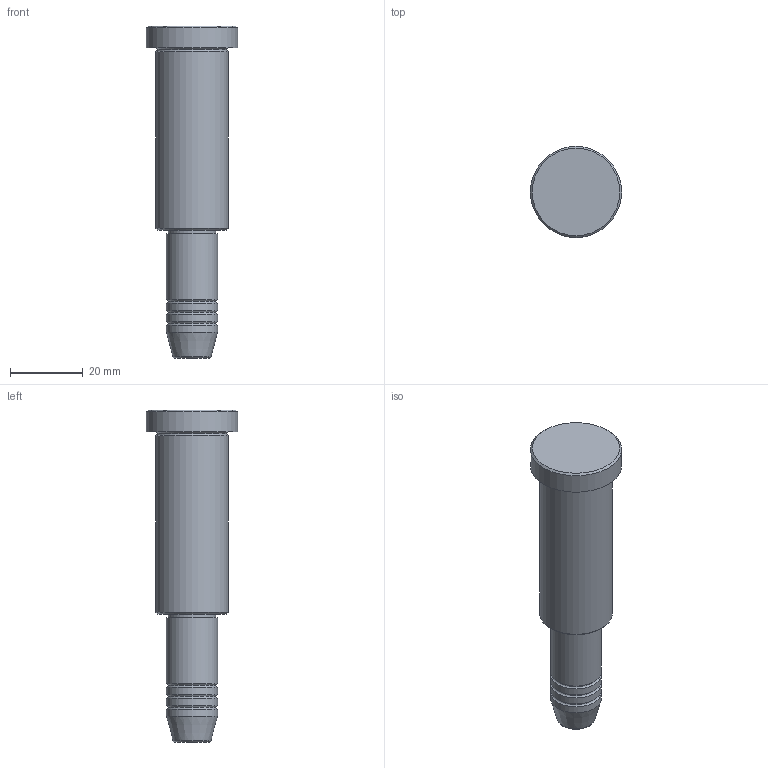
import cadquery as cq
import math

total_length = 91.0
head_radius = 12.5
head_height = 6.0
shank_radius = 10.0
shank_length = 50.0
pin_radius = 7.0
edge_chamfer = 0.5

neck_depth = 0.5
neck_height = 1.0

groove_width = 1.0
groove_depth = 0.5
groove_flank_radius = 0.6
groove_count = 3
groove_pitch = 3.0

taper_height = 7.0
taper_angle = 15.0
tip_fillet = 0.5
lowest_groove_above_taper = 2.5

head_bottom = total_length - head_height
shank_bottom = head_bottom - shank_length
tip_radius = pin_radius - taper_height * math.tan(math.radians(taper_angle))


def cylinder(radius, bottom, top):
    return cq.Workplane("XY").workplane(offset=bottom).circle(radius).extrude(top - bottom)


def make_head():
    return cylinder(head_radius, head_bottom, total_length).faces(">Z").chamfer(edge_chamfer)


def make_shank():
    return cylinder(shank_radius, shank_bottom, head_bottom).faces("<Z").chamfer(edge_chamfer)


def make_pin():
    neck_bottom = shank_bottom - neck_height
    neck = cylinder(pin_radius - neck_depth, neck_bottom, shank_bottom)
    return cylinder(pin_radius, taper_height, neck_bottom).union(neck)


def make_tip():
    profile = [(0, 0), (tip_radius, 0), (pin_radius, taper_height), (0, taper_height)]
    tip = cq.Workplane("XZ").polyline(profile).close().revolve(360, (0, 0), (0, 1))
    return tip.faces("<Z").edges().fillet(tip_fillet)


def groove_ring(surface_radius, centre_height):
    """Ring whose two hollow arc flanks meet in a crease groove_depth below the surface."""
    half_width = groove_width / 2
    flank_chord = math.hypot(groove_depth, half_width)
    flank_bulge = groove_flank_radius - math.sqrt(groove_flank_radius**2 - (flank_chord / 2) ** 2)

    middle_radius = surface_radius - groove_depth / 2 - flank_bulge * half_width / flank_chord
    middle_offset = half_width / 2 + flank_bulge * groove_depth / flank_chord

    root = (surface_radius - groove_depth, centre_height)
    upper_middle = (middle_radius, centre_height + middle_offset)
    lower_middle = (middle_radius, centre_height - middle_offset)
    upper_rim = (surface_radius, centre_height + half_width)
    lower_rim = (surface_radius, centre_height - half_width)

    section = (
        cq.Workplane("XZ")
        .moveTo(*root)
        .threePointArc(upper_middle, upper_rim)
        .lineTo(*lower_rim)
        .threePointArc(lower_middle, root)
        .close()
    )
    return section.revolve(360, (0, 0), (0, 1))


result = make_head().union(make_shank()).union(make_pin()).union(make_tip())

result = result.cut(groove_ring(shank_radius, head_bottom - groove_width / 2))
for index in range(groove_count):
    groove_height = taper_height + lowest_groove_above_taper + index * groove_pitch
    result = result.cut(groove_ring(pin_radius, groove_height))